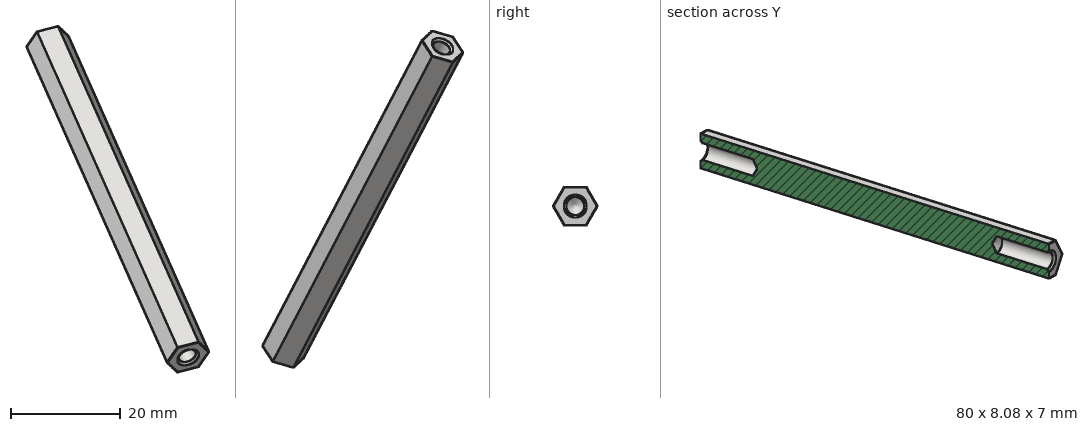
import cadquery as cq
import math

length = 80.0
across_flats = 7.0
across_corners = across_flats / math.cos(math.pi / 6)

end_chamfer = 0.1

hole_diameter = 3.3
mouth_diameter = 4.2
hole_depth = 12.0
drill_tip_angle = math.radians(118)


def hex_bar():
    """Hexagonal bar centred on X, flats facing up and down, with its end edges broken."""
    bar = cq.Workplane("YZ").polygon(6, across_corners).extrude(length)
    return bar.faces("<X or >X").chamfer(end_chamfer)


def end_hole():
    """Countersunk, conically tipped hole entering from the X = 0 end."""
    hole_radius = hole_diameter / 2
    mouth_radius = mouth_diameter / 2
    countersink_depth = mouth_radius - hole_radius
    tip_length = hole_radius / math.tan(drill_tip_angle / 2)
    profile = [
        (0, 0),
        (0, mouth_radius),
        (countersink_depth, hole_radius),
        (hole_depth, hole_radius),
        (hole_depth + tip_length, 0),
    ]
    return cq.Workplane("XY").polyline(profile).close().revolve(360, (0, 0, 0), (1, 0, 0))


near_hole = end_hole()
far_hole = near_hole.mirror("YZ", (length / 2, 0, 0))
result = hex_bar().cut(near_hole).cut(far_hole)